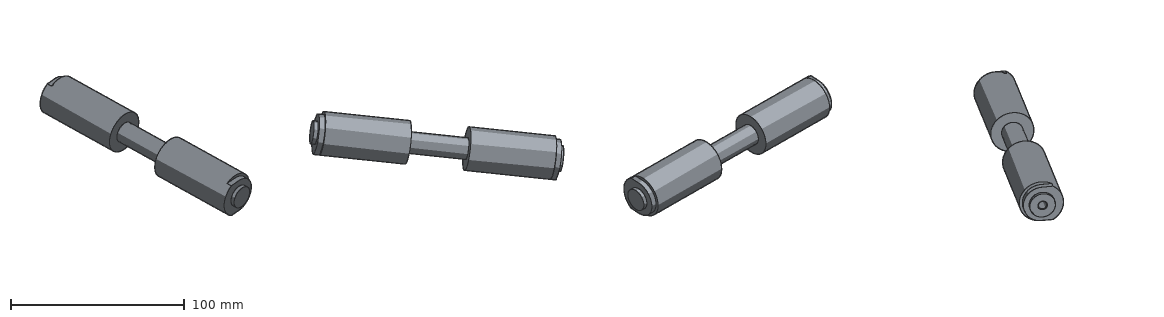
import cadquery as cq
import math

total_length = 146.55
left_collar_length = 1.9
right_collar_length = 2.4
gap_between_rollers = 34.925

roller_diameter = 25.4
shaft_diameter = 12.7
left_collar_diameter = 15.1
right_collar_diameter = 13.5

step_width = 21.9
step_length = 3.3

hole_diameter = 4.8
hole_mouth_chamfer = 0.4
hole_depth = 10.0
drill_point_angle = 118.0

left_end = -total_length / 2
right_end = total_length / 2
left_roller_outer = left_end + left_collar_length
right_roller_outer = right_end - right_collar_length
roller_length = (right_roller_outer - left_roller_outer - gap_between_rollers) / 2


def cylinder(x_start, length, diameter):
    """Solid cylinder on the X axis, running in +X from x_start."""
    return cq.Workplane("YZ", origin=(x_start, 0, 0)).circle(diameter / 2).extrude(length)


def step_profile(x_start):
    """U-shaped prism: round on the +Y side, with two parallel flats running out through -Y."""
    half_width = step_width / 2
    return (
        cq.Workplane("YZ", origin=(x_start, 0, 0))
        .moveTo(-roller_diameter, -half_width)
        .lineTo(0, -half_width)
        .threePointArc((half_width, 0), (0, half_width))
        .lineTo(-roller_diameter, half_width)
        .close()
        .extrude(step_length)
    )


def roller(x_start, step_start):
    """Roller whose outer end is trimmed to the U-shaped step."""
    body = cylinder(x_start, roller_length, roller_diameter)
    end_disc = cylinder(step_start, step_length, roller_diameter)
    trimmed_end = end_disc.intersect(step_profile(step_start))
    return body.cut(end_disc).union(trimmed_end)


def drilled_hole():
    """Hole drilled into the left end along +X, chamfered at its mouth and closed by a conical drill point."""
    radius = hole_diameter / 2
    point_length = radius / math.tan(math.radians(drill_point_angle / 2))
    return (
        cq.Workplane("XY", origin=(left_end, 0, 0))
        .lineTo(0, radius + hole_mouth_chamfer)
        .lineTo(hole_mouth_chamfer, radius)
        .lineTo(hole_depth, radius)
        .lineTo(hole_depth + point_length, 0)
        .close()
        .revolve(360, (0, 0, 0), (1, 0, 0))
    )


left_roller = roller(left_roller_outer, left_roller_outer)
right_roller = roller(right_roller_outer - roller_length, right_roller_outer - step_length)
shaft = cylinder(left_roller_outer, right_roller_outer - left_roller_outer, shaft_diameter)
left_collar = cylinder(left_end, left_collar_length, left_collar_diameter)
right_collar = cylinder(right_roller_outer, right_collar_length, right_collar_diameter)

result = (
    shaft.union(left_roller)
    .union(right_roller)
    .union(left_collar)
    .union(right_collar)
    .cut(drilled_hole())
)